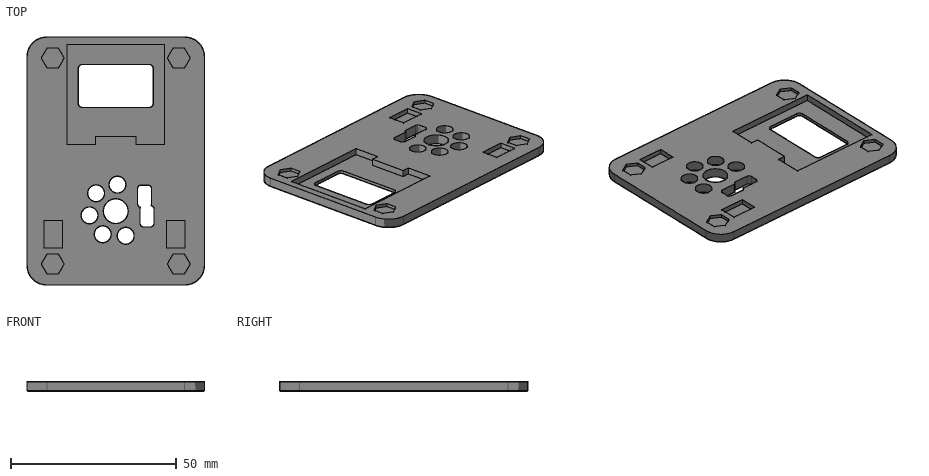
import cadquery as cq
import math

plate_width = 53.7
plate_length = 75.05
plate_thickness = 3.0
corner_radius = 6.0
bottom_chamfer = 0.3

nut_across_flats = 6.0
nut_depth = 1.0
nut_offset_x = 19.1
nut_offset_y = 31.15

pocket_width = 29.35
pocket_top = 35.2
pocket_bottom = 5.0
pocket_depth = 2.0
tab_width = 12.2
tab_height = 2.4

window_width = 22.7
window_top = 29.2
window_bottom = 16.2
window_radius = 1.3

recess_width = 5.55
recess_length = 8.3
recess_depth = 1.5
recess_centers_x = (-18.9, 18.15)
recess_center_y = -22.15

ring_center_y = -15.15
center_hole_diameter = 7.4
ring_hole_diameter = 5.0
ring_radius = 8.0
ring_positions = 7
ring_hole_count = 5
ring_start_angle = 86.3

slot_width = 4.1
slot_radius = 1.0
slot_top = -7.35
slot_bottom = -19.9
slot_upper_center_x = 8.7
slot_lower_center_x = 9.45
slot_upper_end = -13.95
slot_lower_start = -13.5


def block(width, y_low, y_high, z_low, center_x=0.0):
    """Box of the given X width and Y span, from z_low up to the top face."""
    length = y_high - y_low
    height = plate_thickness - z_low
    center = (center_x, (y_low + y_high) / 2, z_low)
    return cq.Workplane("XY").box(width, length, height, centered=(True, True, False)).translate(center)


def rounded_block(width, y_low, y_high, radius, center_x=0.0):
    """Block through the full plate thickness with rounded vertical edges."""
    return block(width, y_low, y_high, 0.0, center_x).edges("|Z").fillet(radius)


def make_plate():
    plate = rounded_block(plate_width, -plate_length / 2, plate_length / 2, corner_radius)
    return plate.faces("<Z").edges().chamfer(bottom_chamfer)


def nut_recesses():
    across_corners = nut_across_flats / math.cos(math.radians(30))
    return (
        cq.Workplane("XY", origin=(0, 0, plate_thickness))
        .rect(2 * nut_offset_x, 2 * nut_offset_y, forConstruction=True)
        .vertices()
        .polygon(6, across_corners)
        .extrude(-nut_depth)
    )


def display_pocket():
    floor = plate_thickness - pocket_depth
    pocket = block(pocket_width, pocket_bottom, pocket_top, floor)
    tab = block(tab_width, pocket_bottom, pocket_bottom + tab_height, floor)
    return pocket.cut(tab)


def display_window():
    return rounded_block(window_width, window_bottom, window_top, window_radius)


def side_recess(center_x):
    y_low = recess_center_y - recess_length / 2
    return block(recess_width, y_low, y_low + recess_length, plate_thickness - recess_depth, center_x)


def round_holes():
    step = 360 / ring_positions
    ring_points = []
    for i in range(ring_hole_count):
        angle = math.radians(ring_start_angle + i * step)
        ring_points.append((ring_radius * math.cos(angle), ring_radius * math.sin(angle)))
    holes = cq.Workplane("XY", origin=(0, ring_center_y, 0))
    center_hole = holes.circle(center_hole_diameter / 2).extrude(plate_thickness)
    ring_holes = holes.pushPoints(ring_points).circle(ring_hole_diameter / 2).extrude(plate_thickness)
    return center_hole.union(ring_holes)


def stepped_slot():
    upper = rounded_block(slot_width, slot_upper_end, slot_top, slot_radius, slot_upper_center_x)
    lower = rounded_block(slot_width, slot_bottom, slot_lower_start, slot_radius, slot_lower_center_x)
    return upper.union(lower)


result = make_plate()
result = result.cut(nut_recesses())
result = result.cut(display_pocket())
result = result.cut(display_window())
for recess_x in recess_centers_x:
    result = result.cut(side_recess(recess_x))
result = result.cut(round_holes())
result = result.cut(stepped_slot())